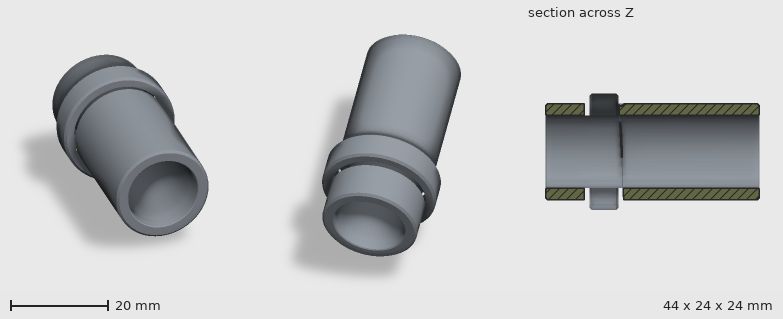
import cadquery as cq

length = 44.0
body_diameter = 19.98
collar_diameter = 24.0
bore_diameter = 15.0
collar_start = 9.0
collar_width = 6.0
groove_width = 1.0
edge_chamfer = 0.5
bore_chamfer = 0.2

collar_end = collar_start + collar_width
body_radius = body_diameter / 2
bore_radius = bore_diameter / 2
groove_radius = groove_width / 2


def chamfered_cylinder(start, end, diameter):
    """Cylinder along X with both end edges chamfered."""
    blank = cq.Workplane("YZ", origin=(start, 0, 0)).circle(diameter / 2).extrude(end - start)
    return blank.faces("<X or >X").chamfer(edge_chamfer)


def relief_groove(center_x):
    """Ring of round section centred on the body surface."""
    return (
        cq.Workplane("XY")
        .center(center_x, body_radius)
        .circle(groove_radius)
        .revolve(360, (-center_x, -body_radius), (0.45 - center_x, -body_radius))
    )


def chamfered_bore():
    """Through bore that widens by a small chamfer at each end."""
    mouth_radius = bore_radius + bore_chamfer
    return (
        cq.Workplane("XY")
        .polyline([
            (0, 0),
            (0, mouth_radius),
            (bore_chamfer, bore_radius),
            (length - bore_chamfer, bore_radius),
            (length, mouth_radius),
            (length, 0),
        ])
        .close()
        .revolve(360, (0, 0), (1, 0))
    )


body = chamfered_cylinder(0, length, body_diameter)
collar = chamfered_cylinder(collar_start, collar_end, collar_diameter)
result = body.union(collar)

for groove_center in (collar_start - groove_radius, collar_end + groove_radius):
    result = result.cut(relief_groove(groove_center))

result = result.cut(chamfered_bore())